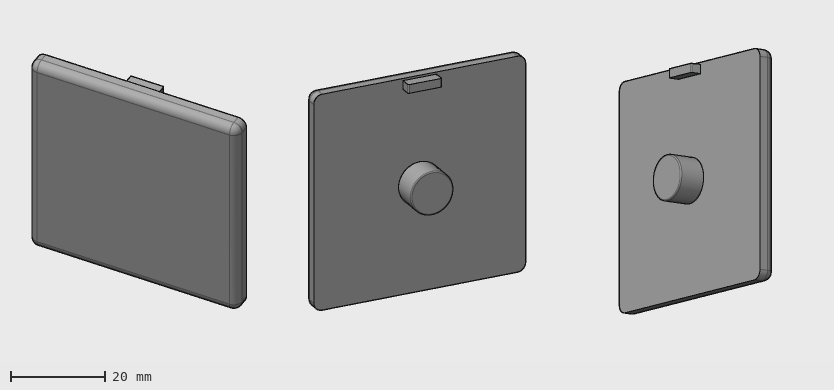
import cadquery as cq

plate_side = 50.0
plate_thickness = 4.0
edge_radius = 2.0

boss_diameter = 10.0
boss_height = 6.0

tab_width = 7.9
tab_thickness = 2.0
tab_height = 2.5
tab_top_gap = 0.5

end_radius = 0.25

overlap = 0.5


def make_plate():
    """Square plate with rounded corners and a rounded front rim; its back lies on Y = 0."""
    plate = cq.Workplane("XY").box(
        plate_side, plate_thickness, plate_side, centered=(True, False, True)
    )
    plate = plate.translate((0, -plate_thickness, 0))
    plate = plate.edges("|Y").fillet(edge_radius)
    return plate.faces("<Y").edges().fillet(edge_radius)


def make_boss():
    """Cylinder along +Y with its free rim rounded."""
    boss = cq.Workplane("XZ", origin=(0, -overlap, 0)).circle(boss_diameter / 2)
    boss = boss.extrude(-(boss_height + overlap))
    return boss.faces(">Y").edges().fillet(end_radius)


def make_tab():
    """Block pointing along +Y with its two free upright edges rounded."""
    bottom_z = plate_side / 2 - tab_top_gap - tab_thickness
    tab = cq.Workplane("XY").box(
        tab_width, tab_height + overlap, tab_thickness, centered=(True, False, False)
    )
    tab = tab.translate((0, -overlap, bottom_z))
    return tab.faces(">Y").edges("|Z").fillet(end_radius)


result = make_plate().union(make_boss()).union(make_tab())